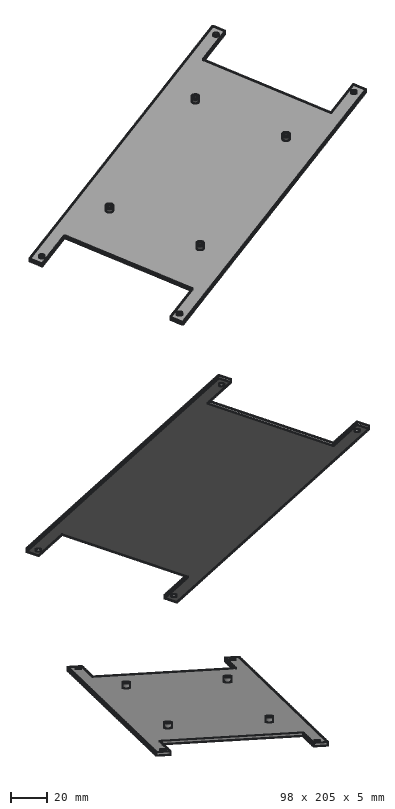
import cadquery as cq

plate_width = 98.0
plate_length = 205.0
plate_thickness = 2.0
arm_width = 8.0
arm_length = 25.0

mount_hole_inset = 5.0
mount_hole_diameter = 3.0

overall_height = 5.0
standoff_height = overall_height - plate_thickness
standoff_diameter = 4.3
standoff_bore_diameter = 2.3
standoff_spacing_x = 58.0
standoff_spacing_y = 96.1


def make_plate():
    """H-shaped plate: a rectangle with a notch cut from each short end."""
    plate = cq.Workplane("XY").box(
        plate_width, plate_length, plate_thickness, centered=(True, True, False)
    )
    notch_width = plate_width - 2 * arm_width
    notch_center_y = (plate_length - arm_length) / 2
    notches = (
        cq.Workplane("XY")
        .pushPoints([(0, -notch_center_y), (0, notch_center_y)])
        .rect(notch_width, arm_length)
        .extrude(plate_thickness)
    )
    return plate.cut(notches)


def cylinders_at_corners(spacing_x, spacing_y, diameter, base_z, height):
    """Four upright cylinders at the corners of a centered rectangle."""
    return (
        cq.Workplane("XY", origin=(0, 0, base_z))
        .rect(spacing_x, spacing_y, forConstruction=True)
        .vertices()
        .circle(diameter / 2)
        .extrude(height)
    )


mount_holes = cylinders_at_corners(
    plate_width - 2 * mount_hole_inset,
    plate_length - 2 * mount_hole_inset,
    mount_hole_diameter,
    0,
    plate_thickness,
)
standoffs = cylinders_at_corners(
    standoff_spacing_x, standoff_spacing_y, standoff_diameter, plate_thickness, standoff_height
)
standoff_bores = cylinders_at_corners(
    standoff_spacing_x, standoff_spacing_y, standoff_bore_diameter, plate_thickness, standoff_height
)

result = make_plate().cut(mount_holes).union(standoffs).cut(standoff_bores)